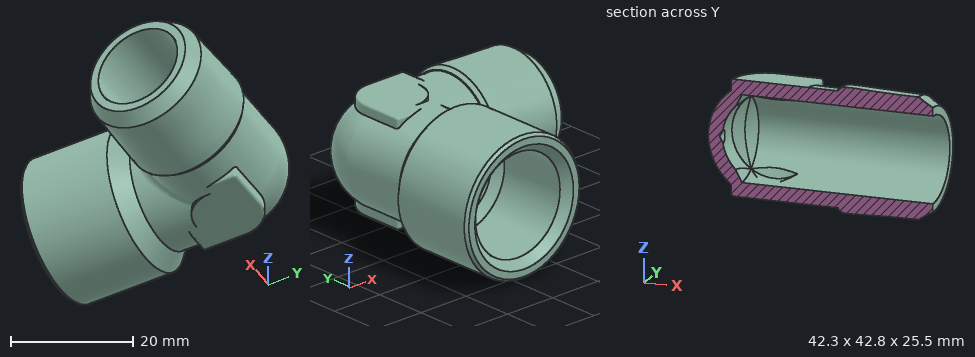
import cadquery as cq
import math


body_radius = 10.0
inner_corner_fillet = 1.5

socket_radius = 12.75
socket_end = 32.0
socket_shoulder_start = 12.75
socket_shoulder_end = socket_shoulder_start + socket_radius - body_radius
socket_rim_length = 0.55
socket_rim_inset = 0.5
counterbore_radius = 9.35
counterbore_depth = 14.98
mouth_radius = 10.9
counterbore_floor_angle = 118.0
mouth_depth = mouth_radius - counterbore_radius

spigot_radius = 10.8
spigot_start = 12.75
spigot_start_radius = 10.2
spigot_collar_start = 13.55
spigot_taper_start = 15.5
spigot_taper_end = 26.95
spigot_taper_radius = 10.5
spigot_end = 29.5
spigot_tip_radius = 8.95

bore_radius = 7.45
bore_overrun = 4.05
socket_point_angle = 140.0
spigot_point_angle = 125.0
socket_point_length = bore_radius / math.tan(math.radians(socket_point_angle / 2))
spigot_point_length = bore_radius / math.tan(math.radians(spigot_point_angle / 2))

pad_radius = 6.0
pad_reach = 8.0
pad_top = body_radius
pad_root = 5.15
pad_edge_fillet = 0.45

pick_margin = 0.05


def revolve_about_y(points):
    """Revolve (radius, y) points about the Y axis."""
    return cq.Workplane("XY").polyline(points).close().revolve(360, (0, 0), (0, 1))


def revolve_about_x(points):
    """Revolve (x, radius) points about the X axis."""
    return cq.Workplane("XY").polyline(points).close().revolve(360, (0, 0), (1, 0))


def make_elbow():
    """Two half-length tubes meeting in a ball, with the inner corner rounded."""
    ball = cq.Workplane("XY").sphere(body_radius)
    socket_neck = cq.Workplane("XZ").circle(body_radius).extrude(socket_shoulder_start)
    spigot_neck = cq.Workplane("YZ").circle(body_radius).extrude(spigot_start)
    elbow = socket_neck.union(spigot_neck)
    corner = cq.selectors.BoxSelector(
        (pick_margin, -body_radius - pick_margin, -body_radius),
        (body_radius + pick_margin, -pick_margin, body_radius),
    )
    return elbow.edges(corner).fillet(inner_corner_fillet).union(ball)


def make_socket():
    return revolve_about_y([
        (0, -socket_shoulder_start),
        (body_radius, -socket_shoulder_start),
        (socket_radius, -socket_shoulder_end),
        (socket_radius, -socket_end + socket_rim_length),
        (socket_radius - socket_rim_inset, -socket_end),
        (0, -socket_end),
    ])


def make_spigot():
    return revolve_about_x([
        (spigot_start, 0),
        (spigot_start, spigot_start_radius),
        (spigot_collar_start, spigot_radius),
        (spigot_taper_start, spigot_radius),
        (spigot_taper_end, spigot_taper_radius),
        (spigot_end, spigot_tip_radius),
        (spigot_end, 0),
    ])


def make_pad():
    """Top pad: round outer and inner corners, square lugs along both tubes."""
    arc_offset = pad_radius * math.sqrt(0.5)
    pad = (
        cq.Workplane("XY", origin=(0, 0, pad_root))
        .moveTo(-pad_radius, 0)
        .threePointArc((-arc_offset, arc_offset), (0, pad_radius))
        .lineTo(pad_reach, pad_radius)
        .lineTo(pad_reach, 0)
        .lineTo(pad_radius, 0)
        .threePointArc((arc_offset, -arc_offset), (0, -pad_radius))
        .lineTo(0, -pad_reach)
        .lineTo(-pad_radius, -pad_reach)
        .close()
        .extrude(pad_top - pad_root)
    )
    lug_corners = [(pad_reach, pad_radius), (-pad_radius, -pad_reach)]
    middle = (pad_top + pad_root) / 2
    for x, y in lug_corners:
        corner = cq.selectors.NearestToPointSelector((x, y, middle))
        pad = pad.edges(corner).fillet(pad_edge_fillet)
    inner_rim = cq.selectors.BoxSelector(
        (-pick_margin, -pad_reach - pick_margin, pad_top - pick_margin),
        (pad_reach - pick_margin, pick_margin, pad_top + pick_margin),
    )
    whole_rim = cq.selectors.DirectionMinMaxSelector(cq.Vector(0, 0, 1))
    rim = cq.selectors.SubtractSelector(whole_rim, inner_rim)
    return pad.edges(rim).fillet(pad_edge_fillet)


def make_bores():
    floor_slope = math.tan(math.radians(counterbore_floor_angle / 2))
    floor_length = (counterbore_radius - bore_radius) / floor_slope
    socket_bore = revolve_about_y([
        (0, -socket_end),
        (mouth_radius, -socket_end),
        (counterbore_radius, -socket_end + mouth_depth),
        (counterbore_radius, -socket_end + counterbore_depth),
        (bore_radius, -socket_end + counterbore_depth + floor_length),
        (bore_radius, bore_overrun),
        (0, bore_overrun + socket_point_length),
    ])
    spigot_bore = revolve_about_x([
        (spigot_end, 0),
        (spigot_end, bore_radius),
        (-bore_overrun, bore_radius),
        (-bore_overrun - spigot_point_length, 0),
    ])
    return socket_bore.union(spigot_bore)


top_pad = make_pad()
bottom_pad = top_pad.mirror("XY")
outside = make_elbow().union(make_socket()).union(make_spigot()).union(top_pad).union(bottom_pad)
result = outside.cut(make_bores())